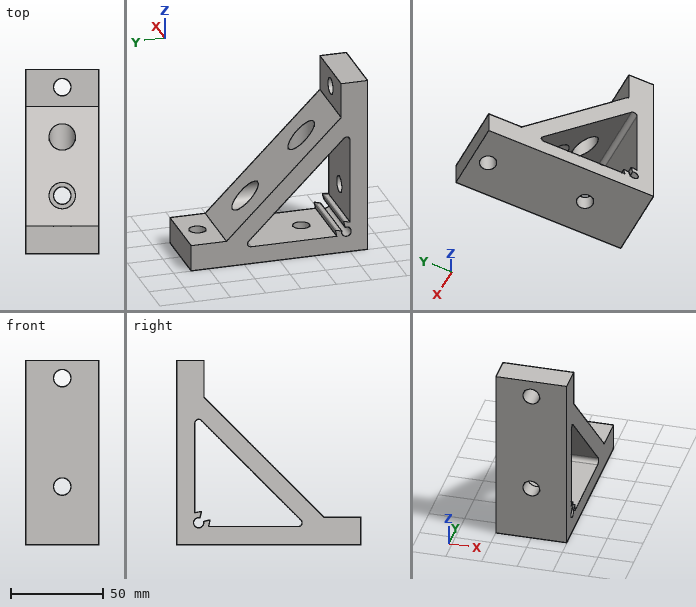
import cadquery as cq
import math

leg_length = 100.0
width = 39.7
end_thickness = 15.0
end_length = 20.0
wall = 10.0
window_radius = 2.0

bore_center = 12.0
bore_radius = 2.7
lip_angle = 15.0
lip_reach = 6.5
lip_root = 17.5
lip_tip_radius = 0.3

hole_diameter = 9.3
access_diameter = 14.3
inner_hole = 31.6
outer_hole = 90.4

strut_outer_sum = leg_length - end_length + end_thickness
strut_inner_sum = strut_outer_sum - wall * math.sqrt(2)


def prism(points):
    """Extrude a (Y, Z) polygon over the full width."""
    return cq.Workplane("YZ").polyline(points).close().extrude(width / 2, both=True)


def mirrored(points):
    """Swap Y and Z, reflecting points onto the other leg."""
    return [(z, y) for y, z in points]


def make_body():
    shoulder = leg_length - end_length
    return prism([
        (0, 0),
        (leg_length, 0),
        (leg_length, end_thickness),
        (shoulder, end_thickness),
        (end_thickness, shoulder),
        (end_thickness, leg_length),
        (0, leg_length),
    ])


def make_window():
    far_corner = strut_inner_sum - wall
    window = prism([(wall, wall), (far_corner, wall), (wall, far_corner)])
    acute_edges = window.edges("|X").edges(">Y or >Z")
    return acute_edges.fillet(window_radius)


def make_lips():
    """Two lips whose inner sides point radially out from the bore."""
    angle = math.radians(lip_angle)
    tip = (bore_center + lip_reach * math.sin(angle), bore_center + lip_reach * math.cos(angle))
    upper = [(wall, wall), (bore_center, bore_center), tip, (wall, lip_root)]
    upper_lip = prism(upper).edges("|X").edges(">Z").fillet(lip_tip_radius)
    lower_lip = prism(mirrored(upper)).edges("|X").edges(">Y").fillet(lip_tip_radius)
    return upper_lip.union(lower_lip)


def make_bore():
    return (
        cq.Workplane("YZ")
        .center(bore_center, bore_center)
        .circle(bore_radius)
        .extrude(width / 2, both=True)
    )


def leg_cylinders(diameter, position, start, end):
    """One cylinder through each leg, running along Z and along Y."""
    length = end - start
    along_z = cq.Solid.makeCylinder(
        diameter / 2, length, cq.Vector(0, position, start), cq.Vector(0, 0, 1)
    )
    along_y = cq.Solid.makeCylinder(
        diameter / 2, length, cq.Vector(0, start, position), cq.Vector(0, 1, 0)
    )
    return cq.Workplane(obj=along_z).union(cq.Workplane(obj=along_y))


result = make_body().cut(make_window()).union(make_lips()).cut(make_bore())
result = result.cut(leg_cylinders(hole_diameter, outer_hole, 0, end_thickness))
result = result.cut(leg_cylinders(hole_diameter, inner_hole, 0, wall))
result = result.cut(leg_cylinders(access_diameter, inner_hole, wall, leg_length))